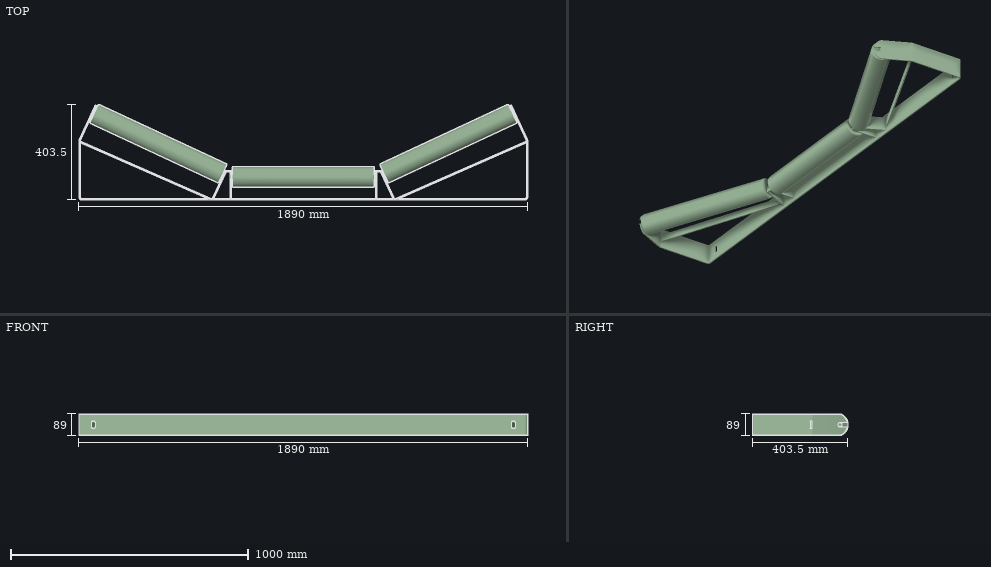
import cadquery as cq
import math

overall_length = 1890.0
half_length = overall_length / 2
strip_width = 89.0
strip_thickness = 6.0
bend_radius = 13.0
inner_bend_radius = bend_radius - strip_thickness
arm_shoulder = 5.0
arm_tip = 35.0
trough_angle = 25.0

bolt_slot_inset = 60.0
bolt_slot_length = 30.0
bolt_slot_width = 17.0

roller_diameter = 89.0
roller_length = 600.0
roller_rim_radius = 5.0
shaft_diameter = 19.0
end_gap = 4.0
centre_roller_y = 98.0
wing_roller_x = 610.0
wing_roller_y = 238.0

bracket_top = 125.0
bracket_width = 60.0

brace_width = 30.0
brace_angle = 23.7
brace_top = 248.0

tilt = math.radians(trough_angle)
axis_half_length = roller_length / 2 + end_gap
shaft_half_length = axis_half_length + strip_thickness

bend_along = shaft_half_length - (half_length - wing_roller_x) * math.cos(tilt)
bend_height = wing_roller_y + bend_along / math.sin(tilt)


def mirrored(shape):
    """Left-hand copy of a right-hand shape."""
    return shape.mirror("YZ")


def plate(points, width):
    """Extrude an XY outline over a width centred on Z = 0."""
    return cq.Workplane("XY", origin=(0, 0, -width / 2)).polyline(points).close().extrude(width)


def rod(diameter, length):
    """Cylinder along X, centred on the origin."""
    return cq.Workplane("YZ", origin=(-length / 2, 0, 0)).circle(diameter / 2).extrude(length)


def wing_place(shape):
    """Move a shape built along X at the origin to the right-hand wing roller axis."""
    turned = shape.rotate((0, 0, 0), (0, 0, 1), trough_angle)
    return turned.translate((wing_roller_x, wing_roller_y, 0))


def wing_point(along, across):
    """XY point at given distances along and across the right-hand wing roller axis."""
    return (
        wing_roller_x + along * math.cos(tilt) - across * math.sin(tilt),
        wing_roller_y + along * math.sin(tilt) + across * math.cos(tilt),
    )


def wing_face_at_y(along, y):
    """Point at height y on the plane square to the right-hand wing axis at the given distance."""
    across = (y - wing_roller_y - along * math.sin(tilt)) / math.cos(tilt)
    return wing_point(along, across)


def shaft_slot(start):
    """Open-topped slot for a shaft, through one plate that starts at X = start."""
    rounded = cq.Workplane("YZ", origin=(start, 0, 0)).circle(shaft_diameter / 2).extrude(strip_thickness)
    opening = cq.Workplane("XY", origin=(start, 0, 0)).box(
        strip_thickness, strip_width, shaft_diameter, centered=(False, False, True)
    )
    return rounded.union(opening)


def make_roller():
    """Barrel with rounded rims on a shaft, along X and centred on the origin."""
    barrel = rod(roller_diameter, roller_length).faces("<X or >X").edges().fillet(roller_rim_radius)
    return barrel.union(rod(shaft_diameter, 2 * shaft_half_length))


def make_brace():
    """Right-hand flat bar from the base up through the upright."""
    slope = math.tan(math.radians(brace_angle))
    half_rise = strip_thickness / 2 / math.cos(math.radians(brace_angle))
    low = brace_top - half_rise
    high = brace_top + half_rise
    foot = half_length - (low - strip_thickness) / slope
    heel = half_length - (high - strip_thickness) / slope
    outline = [(foot, strip_thickness), (half_length, low), (half_length, high), (heel, strip_thickness)]
    return plate(outline, brace_width)


def make_frame(brace):
    """Bent strip with slotted, rounded arm ends and an opening for each brace."""
    inner_x = half_length - strip_thickness
    inner_bend = bend_height - strip_thickness * math.tan(tilt / 2)
    right_side = [
        (half_length, 0),
        (half_length, bend_height),
        wing_point(shaft_half_length, arm_shoulder),
        wing_point(axis_half_length, arm_shoulder),
        (inner_x, inner_bend),
        (inner_x, strip_thickness),
    ]
    left_side = [(-x, y) for x, y in reversed(right_side)]
    strip = plate(right_side + left_side, strip_width)
    bends = [
        (half_length, 0, bend_radius),
        (half_length, bend_height, bend_radius),
        (inner_x, strip_thickness, inner_bend_radius),
        (inner_x, inner_bend, inner_bend_radius),
    ]
    for x, y, radius in bends:
        for bend_x in (-x, x):
            bend_edge = cq.selectors.NearestToPointSelector((bend_x, y, 0))
            strip = strip.edges(bend_edge).fillet(radius)

    arm_end = (
        cq.Workplane("YZ", origin=(axis_half_length, 0, 0))
        .moveTo(arm_shoulder, -strip_width / 2)
        .threePointArc((arm_tip, 0), (arm_shoulder, strip_width / 2))
        .close().extrude(strip_thickness)
    )
    arm_end = wing_place(arm_end)
    arm_slot = wing_place(shaft_slot(axis_half_length))
    strip = strip.union(arm_end).union(mirrored(arm_end))
    strip = strip.cut(arm_slot).cut(mirrored(arm_slot))
    strip = strip.cut(brace).cut(mirrored(brace))

    bolt_x = half_length - bolt_slot_inset
    bolt_slots = (
        cq.Workplane("XZ").pushPoints([(-bolt_x, 0), (bolt_x, 0)])
        .slot2D(bolt_slot_length, bolt_slot_width, 90).extrude(-strip_thickness)
    )
    return strip.cut(bolt_slots)


def make_bracket():
    """Right-hand bent bracket carrying the centre roller and the inner end of the wing roller."""
    web_bottom = bracket_top - strip_thickness
    outline = [
        (axis_half_length, strip_thickness),
        (axis_half_length, bracket_top),
        wing_face_at_y(-axis_half_length, bracket_top),
        wing_face_at_y(-axis_half_length, strip_thickness),
        wing_face_at_y(-shaft_half_length, strip_thickness),
        wing_face_at_y(-shaft_half_length, web_bottom),
        (shaft_half_length, web_bottom),
        (shaft_half_length, strip_thickness),
    ]
    centre_slot = shaft_slot(axis_half_length).translate((0, centre_roller_y, 0))
    wing_slot = wing_place(shaft_slot(-shaft_half_length))
    return plate(outline, bracket_width).cut(centre_slot).cut(wing_slot)


centre_roller = make_roller().translate((0, centre_roller_y, 0))
wing_roller = wing_place(make_roller())
brace = make_brace()
bracket = make_bracket()
frame = make_frame(brace)

bodies = [frame.val(), centre_roller.val()]
for side_body in (wing_roller, bracket, brace):
    bodies += [side_body.val(), mirrored(side_body).val()]

result = cq.Compound.makeCompound(bodies)